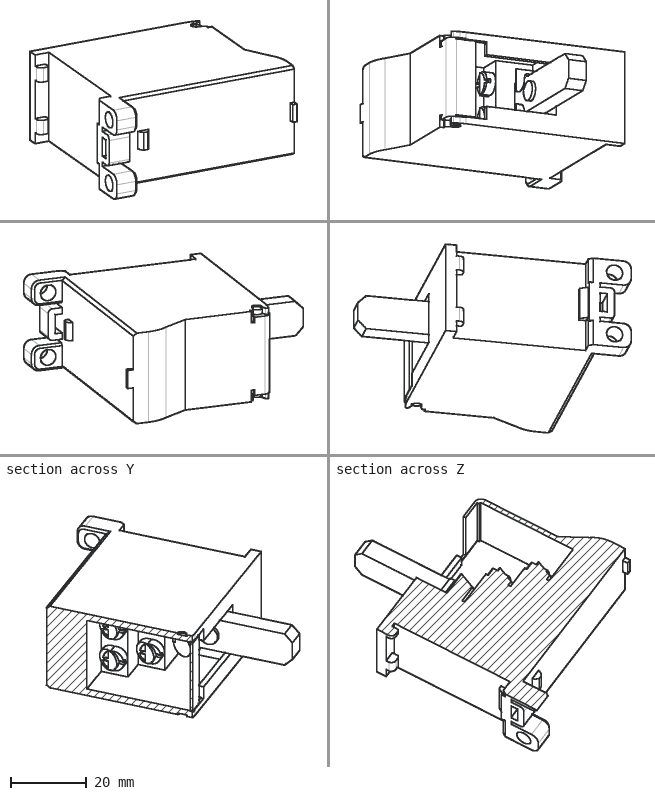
import cadquery as cq
import math

OVERALL_LENGTH = 69.7
OVERALL_HEIGHT = 57.2
WIDTH = 25.2
HALF_WIDTH = WIDTH / 2
LEVER_REACH = 19.25
FOOT_END = OVERALL_LENGTH - LEVER_REACH
SHELF_HEIGHT = 51.15
BACK = 41.95
CORNER_RADIUS = 2.1
EDGE_CHAMFER_BACK = 1.05
EDGE_CHAMFER_SIDE = 0.7
EDGE_CHAMFER_FOOT = 0.6

HOOD_START = 24.75
HOOD_ARC_START = (32.0, 55.35)
HOOD_ARC_END = 37.7

GROOVE_HEIGHT = 4.1
GROOVE_FRONT = 3.0
GROOVE_BACK = 38.95
HOOK_HEIGHT = 3.1
HOOK_REACH = 2.15
HOOK_INNER = 5.45
HOOK_WIDTH = 4.05
HOOK_TOP_RADIUS = 0.55
HOOK_BOTTOM_RADIUS = 1.4
LATCH_REACH = 2.0
LATCH_LIP = 1.0
FOOT_BEVEL_LENGTH = 1.2
FOOT_BEVEL_HEIGHT = 0.85

FOOT_HEIGHT = 6.2
LUG_INNER = 5.6
LUG_RADIUS = 2.2
LUG_HOLE_X = 45.9
LUG_HOLE_Z = 9.0
LUG_HOLE_RADIUS = 2.15
TAB_END = 45.9
TAB_HALF_WIDTH = 4.4
TAB_RADIUS = 1.2
TAB_WINDOW_END = 44.0
TAB_WINDOW_HALF_WIDTH = 2.65

NUB_REACH = 1.5
NUB_HALF_WIDTH = 2.5
NUB_BOTTOM = 10.6
NUB_TOP = 13.8
NUB_TIP = 1.2
NUB_BULGE = 0.2
LIP_HEIGHT = 1.25

PANEL = 1.5
COVER = 0.85
CAVITY_HALF_WIDTH = 10.45
CAVITY_BOTTOM = 20.0
COVER_BOTTOM = 43.35
COVER_SEAM = 0.2
WINDOW_STEP = 40.15
WINDOW_HALF_WIDTH = 7.1
TERRACE_TOP = 37.8
TERRACE_RISE = 7.05
TERRACE_DEPTH = 7.7
TERRACE_FRONT = 7.3
TERRACES = 3

POST_RADIUS = 3.0
POST_Z = 4.8
POST_TOP = 3.9
POST_SLOPE = 0.45
POST_SETBACK = 4.6
SCREW_SETBACK = 3.15
SCREW_HEIGHT = 2.6
SLOT_WIDTH = 0.9
SLOT_DEPTH = 1.1

LEVER_WIDTH = 9.6
LEVER_THICKNESS = 5.15
LEVER_CHAMFER = 2.2
SHOULDER_WIDTH = 11.0
SHOULDER_LENGTH = 1.4
BUTTON_X = 4.45
BUTTON_RADIUS = 2.65
BUTTON_BODY = 1.0
BUTTON_DOME = 1.0

PIN_X = 3.1
PIN_Y = 47.95
PIN_RADIUS = 1.4
PIN_RECESS = 0.4
NOTCH_FLOOR = 50.1
NOTCH_BACK = 5.85
NOTCH_WEB = 0.4
THROAT_HALF_WIDTH = 1.25
THROAT_Y = 48.6
THROAT_FLARE = 0.7
NOSE_START = 46.35
NOSE_KNEE = (0.15, 48.0)
NOSE_BACK = 1.4
NOSE_SETBACK = 0.4
NOSE_ROUND = 0.4
GAP_FRONT = 4.9
GAP_DEPTH = 1.45


def box(x0, x1, y0, y1, z0, z1):
    """Block between opposite corners."""
    return cq.Workplane("XY").box(x1 - x0, y1 - y0, z1 - z0, centered=False).translate((x0, y0, z0))


def central_box(x0, x1, y0, y1, half_width):
    """Block centred on the mid plane."""
    return box(x0, x1, y0, y1, -half_width, half_width)


def both_sides(shape):
    """The shape and its mirror image across the mid plane."""
    return shape.union(shape.mirror("XY"))


def arc_mid_on_hood():
    """Middle point of the hood arc that ends level with the top."""
    x0, y0 = HOOD_ARC_START
    run = HOOD_ARC_END - x0
    rise = OVERALL_HEIGHT - y0
    radius = (run**2 + rise**2) / (2 * rise)
    half_angle = math.asin(run / radius) / 2
    x = HOOD_ARC_END - radius * math.sin(half_angle)
    y = OVERALL_HEIGHT - radius * (1 - math.cos(half_angle))
    return x, y


def make_body():
    """Housing side outline over the full width, with its back edges beveled above the foot."""
    corner_offset = CORNER_RADIUS * (1 - math.sqrt(0.5))
    profile = (
        cq.Workplane("XY")
        .moveTo(0, 0)
        .lineTo(0, SHELF_HEIGHT - CORNER_RADIUS)
        .threePointArc((corner_offset, SHELF_HEIGHT - corner_offset), (CORNER_RADIUS, SHELF_HEIGHT))
        .lineTo(HOOD_START, SHELF_HEIGHT)
        .lineTo(*HOOD_ARC_START)
        .threePointArc(arc_mid_on_hood(), (HOOD_ARC_END, OVERALL_HEIGHT))
        .lineTo(BACK, OVERALL_HEIGHT)
        .lineTo(BACK, 0)
        .lineTo(GROOVE_BACK, 0)
        .lineTo(GROOVE_BACK, GROOVE_HEIGHT)
        .lineTo(GROOVE_FRONT, GROOVE_HEIGHT)
        .lineTo(GROOVE_FRONT, 0)
        .close()
    )
    body = profile.extrude(HALF_WIDTH, both=True)
    above_foot = central_box(0, BACK, FOOT_HEIGHT - EDGE_CHAMFER_FOOT, OVERALL_HEIGHT, WIDTH)
    beveled = body.faces(">X").edges("|Y").chamfer(EDGE_CHAMFER_BACK, EDGE_CHAMFER_SIDE)
    return beveled.intersect(above_foot).union(body.cut(above_foot))


def make_foot():
    """Two drilled lugs and the pierced tab between them."""
    lug = box(GROOVE_BACK, FOOT_END, 0, FOOT_HEIGHT, LUG_INNER, HALF_WIDTH)
    lug = lug.edges("|Y and >X").fillet(LUG_RADIUS)
    lug = lug.faces(">Y").edges(">Z or >X").chamfer(EDGE_CHAMFER_FOOT)
    hole = (
        cq.Workplane("XZ", origin=(LUG_HOLE_X, 0, LUG_HOLE_Z))
        .circle(LUG_HOLE_RADIUS)
        .extrude(-FOOT_HEIGHT)
    )
    tab = central_box(GROOVE_BACK, TAB_END, 0, FOOT_HEIGHT, TAB_HALF_WIDTH)
    tab = tab.edges("|Y and >X").fillet(TAB_RADIUS)
    tab_window = central_box(BACK, TAB_WINDOW_END, 0, FOOT_HEIGHT, TAB_WINDOW_HALF_WIDTH)
    return both_sides(lug.cut(hole)).union(tab.cut(tab_window))


def foot_bevels():
    """Wedges taken off the groove side of both lugs."""
    wedge = (
        cq.Workplane("XY", origin=(0, 0, LUG_INNER))
        .moveTo(GROOVE_BACK, 0)
        .lineTo(GROOVE_BACK + FOOT_BEVEL_LENGTH, 0)
        .lineTo(GROOVE_BACK, FOOT_BEVEL_HEIGHT)
        .close()
        .extrude(HALF_WIDTH - LUG_INNER)
    )
    return both_sides(wedge)


def make_rail_hooks():
    tip = GROOVE_FRONT + HOOK_REACH
    hook = box(GROOVE_FRONT, tip, 0, HOOK_HEIGHT, HOOK_INNER, HOOK_INNER + HOOK_WIDTH)
    hook = hook.edges("|Z and >X and >Y").fillet(HOOK_TOP_RADIUS)
    hook = hook.edges("|Z and >X and <Y").fillet(HOOK_BOTTOM_RADIUS)
    return both_sides(hook)


def make_latch():
    latch = (
        cq.Workplane("XY")
        .moveTo(GROOVE_BACK, HOOK_HEIGHT)
        .lineTo(GROOVE_BACK - LATCH_REACH, HOOK_HEIGHT)
        .lineTo(GROOVE_BACK - LATCH_REACH, HOOK_HEIGHT - LATCH_LIP)
        .lineTo(GROOVE_BACK, FOOT_BEVEL_HEIGHT)
        .close()
    )
    return latch.extrude(TAB_HALF_WIDTH, both=True)


def make_back_nubs():
    middle = (NUB_BOTTOM + NUB_TOP) / 2
    tip = BACK + NUB_REACH
    tip_bottom = middle - NUB_TIP / 2
    tip_top = middle + NUB_TIP / 2
    arc_x = BACK + NUB_REACH / 2 + NUB_BULGE / 2
    low_arc_y = (NUB_BOTTOM + tip_bottom) / 2 - NUB_BULGE / 2
    nub = (
        cq.Workplane("XY")
        .moveTo(BACK, NUB_BOTTOM)
        .threePointArc((arc_x, low_arc_y), (tip, tip_bottom))
        .lineTo(tip, tip_top)
        .threePointArc((arc_x, 2 * middle - low_arc_y), (BACK, NUB_TOP))
        .close()
        .extrude(NUB_HALF_WIDTH, both=True)
    )
    lip = central_box(BACK, tip, OVERALL_HEIGHT - LIP_HEIGHT, OVERALL_HEIGHT, NUB_HALF_WIDTH)
    return nub.union(lip)


def terrace_level(step):
    """Height and front face of a terrace, counted from the lowest one."""
    height = TERRACE_TOP - (TERRACES - 1 - step) * TERRACE_RISE
    return height, TERRACE_FRONT + step * TERRACE_DEPTH


def make_cavity():
    """Hollow behind the front panel, stepped at its back, with its opening to the front."""
    ceiling = SHELF_HEIGHT - PANEL
    back = TERRACE_FRONT + TERRACES * TERRACE_DEPTH
    cavity = central_box(PANEL, back, CAVITY_BOTTOM, ceiling, CAVITY_HALF_WIDTH)
    for step in range(1, TERRACES):
        height, front = terrace_level(step)
        cavity = cavity.cut(central_box(front, back, CAVITY_BOTTOM, height, CAVITY_HALF_WIDTH))
    cover_top = SHELF_HEIGHT - CORNER_RADIUS
    behind_cover = central_box(COVER, PANEL, WINDOW_STEP, cover_top, CAVITY_HALF_WIDTH)
    wide_window = central_box(0, PANEL, WINDOW_STEP, COVER_BOTTOM, CAVITY_HALF_WIDTH)
    narrow_window = central_box(0, PANEL, CAVITY_BOTTOM, WINDOW_STEP, WINDOW_HALF_WIDTH)
    seam_end = CAVITY_HALF_WIDTH + COVER_SEAM
    seams = both_sides(box(0, COVER, WINDOW_STEP, cover_top, CAVITY_HALF_WIDTH, seam_end))
    cavity = cavity.union(behind_cover).union(seams)
    return cavity.union(wide_window).union(narrow_window)


def upright_cylinder(x, y, z, height):
    """Terminal cylinder along Y standing at the given point."""
    return cq.Workplane("XZ", origin=(x, y, z)).circle(POST_RADIUS).extrude(-height)


def make_post(x, y, z, height):
    """Cylinder with a sloped top that is highest at its front."""
    post = upright_cylinder(x, y, z, height)
    top = y + height
    drop = 2 * POST_RADIUS * POST_SLOPE
    wedge = (
        cq.Workplane("XY")
        .moveTo(x - POST_RADIUS, top)
        .lineTo(x + POST_RADIUS, top)
        .lineTo(x + POST_RADIUS, top - drop)
        .close()
        .extrude(POST_RADIUS, both=True)
    )
    return post.cut(wedge.translate((0, 0, z)))


def make_screw(x, y, z):
    top = y + SCREW_HEIGHT
    half_slot = SLOT_WIDTH / 2
    slot = box(x - POST_RADIUS, x + POST_RADIUS, top - SLOT_DEPTH, top, z - half_slot, z + half_slot)
    return upright_cylinder(x, y, z, SCREW_HEIGHT).cut(slot)


def make_terminals():
    """One post on each side per terrace; the lowest pair stands on the cavity floor without screws."""
    right = cq.Workplane("XY")
    for step in range(TERRACES):
        height, front = terrace_level(step)
        base = height if step else CAVITY_BOTTOM
        right = right.union(make_post(front + POST_SETBACK, base, POST_Z, height + POST_TOP - base))
        if step:
            right = right.union(make_screw(front + SCREW_SETBACK, height, POST_Z))
    return both_sides(right)


def make_button(x, y):
    """Upright cylinder (along Y) with a spherical cap on the mid plane."""
    sphere_radius = (BUTTON_RADIUS**2 + BUTTON_DOME**2) / (2 * BUTTON_DOME)
    half_angle = math.asin(BUTTON_RADIUS / sphere_radius) / 2
    top = BUTTON_BODY + BUTTON_DOME
    arc_mid = (sphere_radius * math.sin(half_angle), top - sphere_radius * (1 - math.cos(half_angle)))
    profile = (
        cq.Workplane("XY")
        .lineTo(BUTTON_RADIUS, 0)
        .lineTo(BUTTON_RADIUS, BUTTON_BODY)
        .threePointArc(arc_mid, (0, top))
        .close()
    )
    return profile.revolve(360, (0, 0, 0), (0, 1, 0)).translate((x, y, 0))


def make_lever():
    top = CAVITY_BOTTOM + LEVER_THICKNESS
    lever_end = TERRACE_FRONT + TERRACE_DEPTH
    lever = central_box(-LEVER_REACH, lever_end, CAVITY_BOTTOM, top, LEVER_WIDTH / 2)
    lever = lever.edges("|Y and <X").chamfer(LEVER_CHAMFER)
    shoulder_end = TERRACE_FRONT + SHOULDER_LENGTH
    shoulder = central_box(TERRACE_FRONT, shoulder_end, CAVITY_BOTTOM, top, SHOULDER_WIDTH / 2)
    return lever.union(shoulder).union(make_button(BUTTON_X, top))


def make_hinge_recesses():
    """Notch, pin seat and nose setback in the front corner of both side walls."""
    notch_base = CAVITY_HALF_WIDTH + NOTCH_WEB
    wall = HALF_WIDTH - notch_base
    wall_plane = cq.Workplane("XY", origin=(0, 0, notch_base))
    nose_middle = (NOSE_SETBACK + NOSE_BACK) / 2
    throat_front = PIN_X - THROAT_HALF_WIDTH
    throat_back = PIN_X + THROAT_HALF_WIDTH
    notch = (
        wall_plane.moveTo(0, SHELF_HEIGHT)
        .lineTo(0, NOSE_START)
        .lineTo(*NOSE_KNEE)
        .lineTo(NOSE_SETBACK, NOTCH_FLOOR - NOSE_ROUND)
        .threePointArc((nose_middle, NOTCH_FLOOR), (NOSE_BACK, NOTCH_FLOOR - NOSE_ROUND))
        .lineTo(throat_front, THROAT_Y)
        .lineTo(throat_back, THROAT_Y)
        .lineTo(throat_back + THROAT_FLARE, NOTCH_FLOOR)
        .lineTo(NOTCH_BACK, NOTCH_FLOOR)
        .lineTo(NOTCH_BACK, SHELF_HEIGHT)
        .close()
        .extrude(wall)
    )
    pin_seat = wall_plane.center(PIN_X, PIN_Y).circle(PIN_RADIUS).extrude(wall)
    pin = wall_plane.center(PIN_X, PIN_Y).circle(PIN_RADIUS).extrude(wall - PIN_RECESS)
    gap_bottom = notch_base - GAP_DEPTH
    gap = box(GAP_FRONT, NOTCH_BACK, NOTCH_FLOOR, SHELF_HEIGHT, gap_bottom, HALF_WIDTH)
    return both_sides(notch.union(pin_seat).cut(pin).union(gap))


result = make_body().union(make_foot()).cut(foot_bevels())
result = result.union(make_rail_hooks()).union(make_latch()).union(make_back_nubs())
result = result.cut(make_cavity()).cut(make_hinge_recesses())
result = result.union(make_lever()).union(make_terminals())